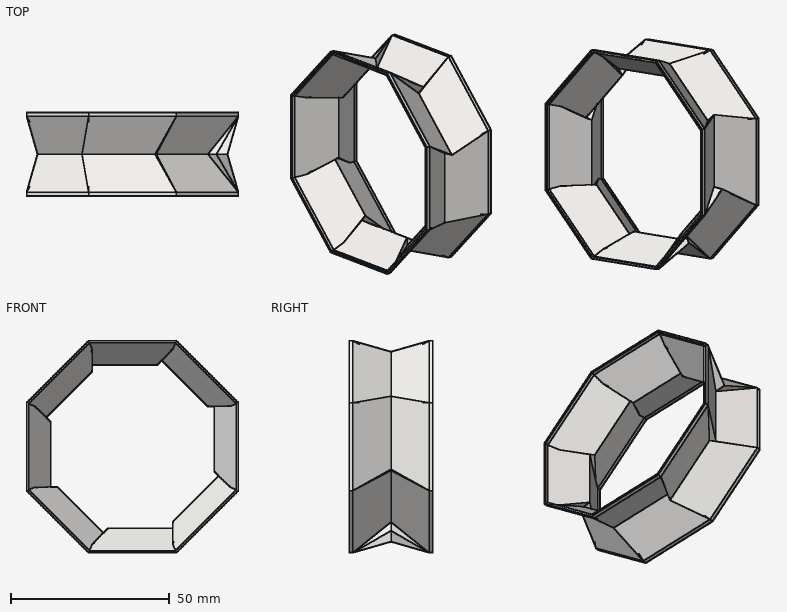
import cadquery as cq
import math


sides = 8
across_flats = 66.78
width = 26.4
rim_width = 1.2
wall = 0.68
fold_angle = 30.0
fold_start = -15.9
fold_end = 7.12

turn = math.radians(360.0 / sides)
apothem = across_flats / 2
half_side = apothem * math.tan(turn / 2)
half_width = width / 2
panel_width = half_width - rim_width
fold_apothem = apothem - panel_width * math.tan(math.radians(fold_angle))


def to_side(point, side):
    """Turn a point of the top side clockwise about Y by a number of sides."""
    angle = side * turn
    x = point.x * math.cos(angle) + point.z * math.sin(angle)
    z = point.z * math.cos(angle) - point.x * math.sin(angle)
    return cq.Vector(x, point.y, z)


def mirrored(point):
    """Reflect a point in the mid-width plane."""
    return cq.Vector(point.x, -point.y, point.z)


def offset_plane(first, second, third):
    """Plane through three points, moved one wall along its right-handed normal.

    Planes are pairs of a unit normal and a distance from the origin.
    """
    normal = (second - first).cross(third - first).normalized()
    return normal, normal.dot(first) + wall


def meeting_point(plane_a, plane_b, plane_c):
    """Common point of three planes."""
    normal_a, distance_a = plane_a
    normal_b, distance_b = plane_b
    normal_c, distance_c = plane_c
    weighted = normal_b.cross(normal_c) * distance_a
    weighted += normal_c.cross(normal_a) * distance_b
    weighted += normal_a.cross(normal_b) * distance_c
    return weighted * (1 / normal_a.dot(normal_b.cross(normal_c)))


def polygon_face(points):
    return cq.Face.makeFromWires(cq.Wire.makePolygon(points, close=True))


def folded_body(end_corner, rim_corner, start, end, branch=None):
    """Solid octagonal body bounded by rims, folded panels, gussets and two end faces.

    The points belong to the joint at the start of the top side, on the +Y half.
    end_corner and rim_corner bound the rim, start is where the side's own fold line
    begins and end is where the fold line of the side before it stops. branch is the
    tip of the gusset; without one the gusset reaches the rim corner.
    """
    rim = [end_corner, to_side(end_corner, 1), to_side(rim_corner, 1), rim_corner]
    if branch is None:
        panel = [rim_corner, to_side(rim_corner, 1), to_side(end, 1), start]
        gusset = [rim_corner, start, end]
    else:
        panel = [rim_corner, to_side(rim_corner, 1), to_side(branch, 1), to_side(end, 1), start, branch]
        gusset = [branch, start, end]
    end_face = [to_side(end_corner, side) for side in range(sides)]

    half_outlines = [end_face]
    for outline in (rim, panel, gusset):
        for side in range(sides):
            half_outlines.append([to_side(point, side) for point in outline])

    faces = []
    for outline in half_outlines:
        faces.append(polygon_face(outline))
        faces.append(polygon_face([mirrored(point) for point in outline]))
    return cq.Solid.makeSolid(cq.Shell.makeShell(faces)).fix()


end_corner = cq.Vector(-half_side, half_width, apothem)
rim_corner = cq.Vector(-half_side, panel_width, apothem)
next_rim_corner = to_side(rim_corner, 1)
start_point = cq.Vector(fold_start, 0, fold_apothem)
end_point = to_side(cq.Vector(fold_end, 0, fold_apothem), -1)
outer_body = folded_body(end_corner, rim_corner, start_point, end_point)

rim_plane = offset_plane(end_corner, next_rim_corner, rim_corner)
previous_rim_plane = (to_side(rim_plane[0], -1), rim_plane[1])
panel_plane = offset_plane(rim_corner, next_rim_corner, start_point)
previous_panel_plane = (to_side(panel_plane[0], -1), panel_plane[1])
gusset_plane = offset_plane(rim_corner, start_point, end_point)
mid_plane = (cq.Vector(0, 1, 0), 0)
end_plane = (cq.Vector(0, 1, 0), half_width)

inner_body = folded_body(
    end_corner=meeting_point(rim_plane, previous_rim_plane, end_plane),
    rim_corner=meeting_point(rim_plane, previous_rim_plane, panel_plane),
    start=meeting_point(panel_plane, gusset_plane, mid_plane),
    end=meeting_point(previous_panel_plane, gusset_plane, mid_plane),
    branch=meeting_point(panel_plane, previous_panel_plane, gusset_plane),
)

result = cq.Workplane(outer_body).cut(cq.Workplane(inner_body))